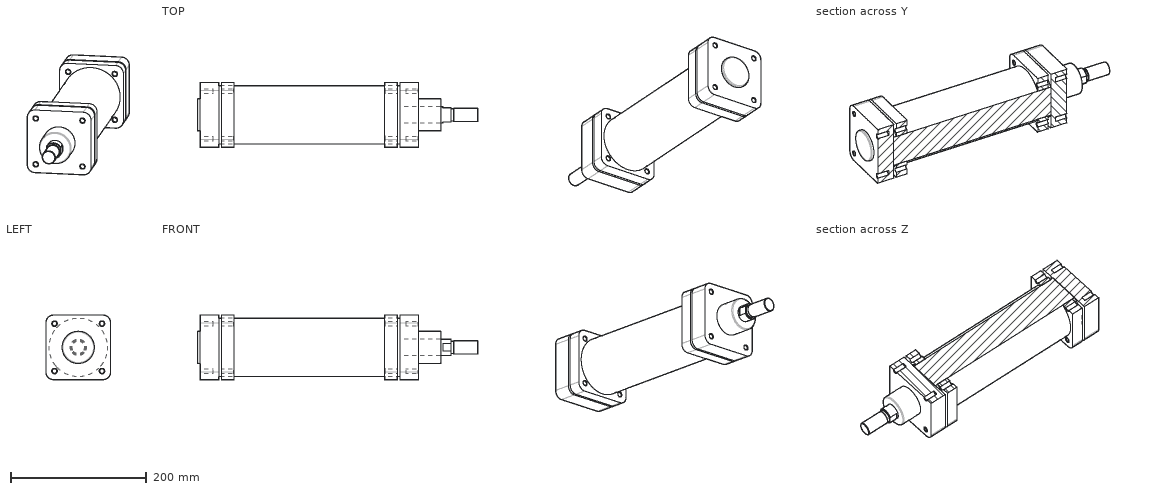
import cadquery as cq
import math

TOTAL_LENGTH = 416.0
REAR_BOSS_LENGTH = 4.0
CAP_LENGTH = 28.0
GAP = 3.7
FLANGE_LENGTH = 18.7
FRONT_CAP_END = 328.0
FRONT_BOSS_LENGTH = 33.3

PLATE_SIZE = 96.0
CORNER_RADIUS = 11.5
BARREL_DIAMETER = 86.5
BOSS_DIAMETER = 48.0
BOSS_FILLET = 1.2

BOLT_SPACING = 70.5
BOLT_DIAMETER = 6.5
BOLT_CHAMFER = 1.0
BOLT_DEPTH = 18.7

ROD_DIAMETER = 24.0
FLATS_START = 363.5
FLATS_END = 376.0
FLATS_WIDTH = 21.2
ROD_CHAMFER = 0.62
NECK_DIAMETER = 18.7
NECK_END = 379.5
STUD_DIAMETER = 20.0
STUD_CHAMFER = 1.0

rear_cap_start = REAR_BOSS_LENGTH
rear_cap_end = rear_cap_start + CAP_LENGTH
rear_flange_start = rear_cap_end + GAP
rear_flange_end = rear_flange_start + FLANGE_LENGTH
front_cap_start = FRONT_CAP_END - CAP_LENGTH
front_flange_start = front_cap_start - GAP - FLANGE_LENGTH
front_boss_end = FRONT_CAP_END + FRONT_BOSS_LENGTH


def cylinder(start, end, diameter):
    """Round bar on the X axis."""
    return cq.Workplane("YZ", origin=(start, 0, 0)).circle(diameter / 2).extrude(end - start)


def plate(start, length):
    """Square plate with rounded corners."""
    return (
        cq.Workplane("YZ", origin=(start, 0, 0))
        .rect(PLATE_SIZE, PLATE_SIZE)
        .extrude(length)
        .edges("|X")
        .fillet(CORNER_RADIUS)
    )


def bolt_holes(mouth, depth):
    """Four chamfered hole cutters; a negative depth runs toward -X."""
    inward = math.copysign(1, depth)
    mouth_radius = BOLT_DIAMETER / 2 + BOLT_CHAMFER
    cutter = (
        cq.Workplane("XY")
        .moveTo(mouth, 0)
        .lineTo(mouth, mouth_radius)
        .lineTo(mouth + inward * BOLT_CHAMFER, BOLT_DIAMETER / 2)
        .lineTo(mouth + depth, BOLT_DIAMETER / 2)
        .lineTo(mouth + depth, 0)
        .close()
        .revolve(360, (0, 0, 0), (1, 0, 0))
    )
    offset = BOLT_SPACING / 2
    cutters = cq.Workplane("XY")
    for y in (-offset, offset):
        for z in (-offset, offset):
            cutters = cutters.add(cutter.translate((0, y, z)))
    return cutters.combine()


def make_rear_cap():
    """End plate with blind bolt holes and a short boss at the back."""
    body = plate(rear_cap_start, CAP_LENGTH).cut(bolt_holes(rear_cap_start, BOLT_DEPTH))
    boss = cylinder(0, rear_cap_start, BOSS_DIAMETER).faces("<X").edges().fillet(BOSS_FILLET)
    return body.union(boss)


def make_front_cap():
    """End plate with blind bolt holes, a long boss and the rod bore."""
    body = plate(front_cap_start, CAP_LENGTH).cut(bolt_holes(FRONT_CAP_END, -BOLT_DEPTH))
    boss = cylinder(FRONT_CAP_END, front_boss_end, BOSS_DIAMETER).faces(">X").edges().fillet(BOSS_FILLET)
    bore = cylinder(front_cap_start, front_boss_end, ROD_DIAMETER)
    return body.union(boss).cut(bore)


def make_flange(start, mouth, depth):
    """Plate around the barrel, its through holes chamfered on the side facing mid-barrel."""
    opening = cylinder(start, start + FLANGE_LENGTH, BARREL_DIAMETER)
    return plate(start, FLANGE_LENGTH).cut(opening).cut(bolt_holes(mouth, depth))


def make_barrel():
    """Barrel that spans the distance between the two caps."""
    return cylinder(rear_cap_end, front_cap_start, BARREL_DIAMETER)


def make_rod():
    """Rod with two wrench flats, a relief neck and an end stud."""
    shank = cylinder(front_cap_start, FLATS_END, ROD_DIAMETER).faces(">X").chamfer(ROD_CHAMFER)
    flats_length = FLATS_END - FLATS_START
    sleeve_size = 2 * ROD_DIAMETER
    kept_core = cq.Workplane("XY").box(flats_length, FLATS_WIDTH, sleeve_size, centered=(False, True, True))
    sleeve = cq.Workplane("XY").box(flats_length, sleeve_size, sleeve_size, centered=(False, True, True))
    flats_cutter = sleeve.cut(kept_core).translate((FLATS_START, 0, 0))
    neck = cylinder(FLATS_END, NECK_END, NECK_DIAMETER)
    stud = cylinder(NECK_END, TOTAL_LENGTH, STUD_DIAMETER).faces("<X or >X").chamfer(STUD_CHAMFER)
    return shank.cut(flats_cutter).union(neck).union(stud)


rear_cap = make_rear_cap()
front_cap = make_front_cap()
flanges = [
    make_flange(rear_flange_start, rear_flange_end, -FLANGE_LENGTH),
    make_flange(front_flange_start, front_flange_start, FLANGE_LENGTH),
]
barrel = make_barrel()
rod = make_rod()

result = cq.Compound.makeCompound(
    [rear_cap.val(), front_cap.val(), barrel.val(), rod.val(), *[flange.val() for flange in flanges]]
)